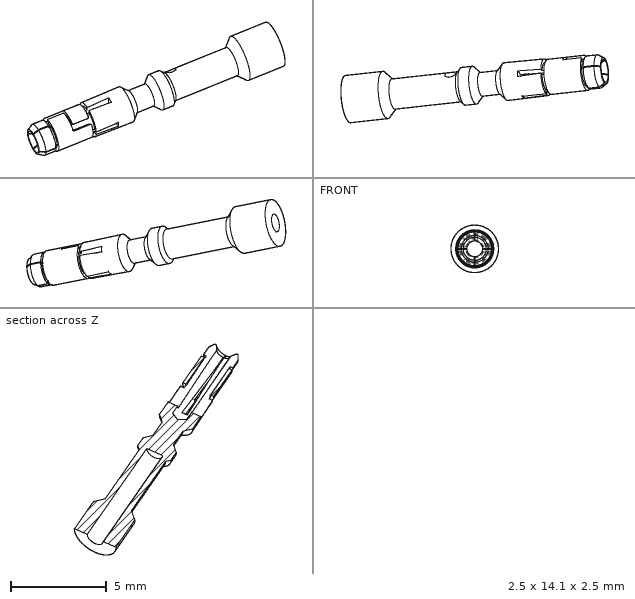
import cadquery as cq
import math


QUARTER_TURN = 90.0
HALF_TURN = 180.0
FULL_TURN = 360.0

LENGTH = 14.1
TIP_CHAMFER_END = 0.30
TIP_HEAD_END = 0.895
SLEEVE_START = 1.03
SLEEVE_END = 3.04
TINE_COLLAR_START = 3.20
TINE_COLLAR_END = 5.42
RING_START = 7.15
RING_LENGTH = 0.60
BARREL_START = 12.05

TIP_FACE_RADIUS = 0.70
TIP_HEAD_RADIUS = 0.88
SEAT_FRONT_RADIUS = 0.72
SEAT_REAR_RADIUS = 0.76
SLEEVE_RADIUS = 0.93
TINE_COLLAR_FRONT_RADIUS = 0.97
COLLAR_RADIUS = 1.0
NECK_RADIUS = 0.63
SHANK_RADIUS = 0.80
BARREL_RADIUS = 1.25

SOCKET_RADIUS = 0.41
SOCKET_MOUTH_RADIUS = 0.60
SOCKET_MOUTH_DEPTH = 0.30
SOCKET_DEPTH = 5.0
DRILL_POINT_ANGLE = 118.0

SLIT_LENGTH = 4.48
SLIT_TIP_WIDTH = 0.05
SLIT_ROOT_WIDTH = 0.31

JOINT_INNER_ANGLE = 28.0
JOINT_OUTER_ANGLE = 49.7
JOINT_STEP_GAP = 0.09
JOINT_CORNER_RADIUS = 0.07

WIRE_BORE_RADIUS = 0.47
WIRE_BORE_END = 7.7
INSPECTION_DIAMETER = 0.60
INSPECTION_STATION = 8.29
INSPECTION_ANGLE = 45.0


def revolve_about_y(points):
    """Revolve a closed (radius, station) outline about the Y axis."""
    return cq.Workplane("XY").polyline(points).close().revolve(FULL_TURN, (0, 0, 0), (0, 1, 0))


def make_turned_body():
    ring_end = RING_START + RING_LENGTH
    shoulder = COLLAR_RADIUS - NECK_RADIUS
    return revolve_about_y([
        (0, 0),
        (TIP_FACE_RADIUS, 0),
        (TIP_HEAD_RADIUS, TIP_CHAMFER_END),
        (TIP_HEAD_RADIUS, TIP_HEAD_END),
        (SEAT_FRONT_RADIUS, TIP_HEAD_END),
        (SEAT_REAR_RADIUS, TINE_COLLAR_START),
        (TINE_COLLAR_FRONT_RADIUS, TINE_COLLAR_START),
        (COLLAR_RADIUS, TINE_COLLAR_END),
        (NECK_RADIUS, TINE_COLLAR_END + shoulder),
        (NECK_RADIUS, RING_START - shoulder),
        (COLLAR_RADIUS, RING_START),
        (COLLAR_RADIUS, ring_end),
        (SHANK_RADIUS, ring_end + COLLAR_RADIUS - SHANK_RADIUS),
        (SHANK_RADIUS, BARREL_START - (BARREL_RADIUS - SHANK_RADIUS)),
        (BARREL_RADIUS, BARREL_START),
        (BARREL_RADIUS, LENGTH),
        (0, LENGTH),
    ])


def make_socket():
    point_length = SOCKET_RADIUS / math.tan(math.radians(DRILL_POINT_ANGLE / 2))
    return revolve_about_y([
        (0, 0),
        (SOCKET_MOUTH_RADIUS, 0),
        (SOCKET_RADIUS, SOCKET_MOUTH_DEPTH),
        (SOCKET_RADIUS, SOCKET_DEPTH),
        (0, SOCKET_DEPTH + point_length),
    ])


def make_slit():
    """Slot across the full diameter, open through Z, that widens behind the sleeve's front edge."""
    half_tip = SLIT_TIP_WIDTH / 2
    half_root = SLIT_ROOT_WIDTH / 2
    outline = [
        (-half_tip, 0),
        (half_tip, 0),
        (half_tip, SLEEVE_START),
        (half_root, SLIT_LENGTH),
        (-half_root, SLIT_LENGTH),
        (-half_tip, SLEEVE_START),
    ]
    return cq.Workplane("XY").polyline(outline).close().extrude(BARREL_RADIUS, both=True)


def make_wire_bore():
    return revolve_about_y([
        (0, WIRE_BORE_END),
        (WIRE_BORE_RADIUS, WIRE_BORE_END),
        (WIRE_BORE_RADIUS, LENGTH),
        (0, LENGTH),
    ])


def make_inspection_hole():
    """Radial hole into the wire bore, tilted from +Z toward -X."""
    hole = cq.Workplane("XY").circle(INSPECTION_DIAMETER / 2).extrude(COLLAR_RADIUS)
    return hole.rotate((0, 0, 0), (0, 1, 0), -INSPECTION_ANGLE).translate((0, INSPECTION_STATION, 0))


def make_sleeve_sector(start_angle, end_angle, start, end):
    """Part of the sleeve between two stations and two angles, measured from +Z toward +X."""
    wall = SLEEVE_RADIUS - SEAT_FRONT_RADIUS
    section = cq.Workplane("XY").center(SEAT_FRONT_RADIUS, start).rect(wall, end - start, centered=False)
    sector = section.revolve(end_angle - start_angle, (-SEAT_FRONT_RADIUS, 0, 0), (-SEAT_FRONT_RADIUS, 1, 0))
    return sector.rotate((0, 0, 0), (0, 1, 0), start_angle - QUARTER_TURN)


def make_sleeve():
    """Wrapped sleeve whose two ends interlock through an S-shaped gap on the +Z side."""
    middle = (SLEEVE_START + SLEEVE_END) / 2
    step_start = middle - JOINT_STEP_GAP / 2
    step_end = middle + JOINT_STEP_GAP / 2
    sleeve = make_sleeve_sector(HALF_TURN, HALF_TURN + FULL_TURN, SLEEVE_START, SLEEVE_END)
    gaps = [
        (-JOINT_OUTER_ANGLE, -JOINT_INNER_ANGLE, SLEEVE_START, step_end),
        (-JOINT_OUTER_ANGLE, JOINT_OUTER_ANGLE, step_start, step_end),
        (JOINT_INNER_ANGLE, JOINT_OUTER_ANGLE, step_start, SLEEVE_END),
    ]
    for gap in gaps:
        sleeve = sleeve.cut(make_sleeve_sector(*gap))
    return sleeve.edges("%LINE").edges("#Y").fillet(JOINT_CORNER_RADIUS)


body = make_turned_body().cut(make_socket())
slit = make_slit()
body = body.cut(slit).cut(slit.rotate((0, 0, 0), (0, 1, 0), QUARTER_TURN))
body = body.cut(make_wire_bore()).cut(make_inspection_hole())
result = body.union(make_sleeve())